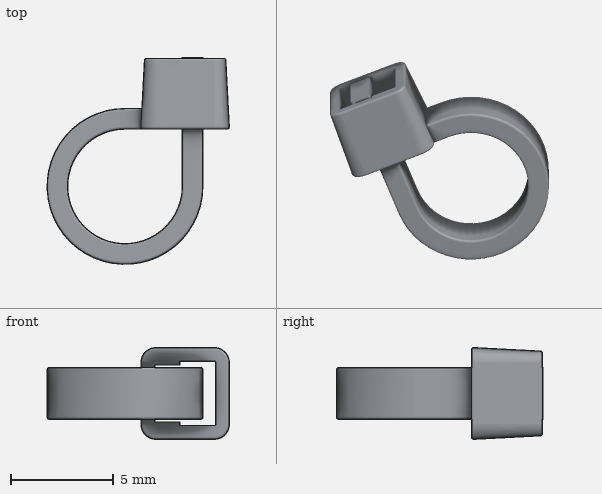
import cadquery as cq
import math

overall_width = 8.91
overall_length = 10.1

outer_radius = 3.81
band_thickness = 1.01
band_width = 2.54
inner_radius = outer_radius - band_thickness
tail_end_y = overall_length - outer_radius
tail_projection = 0.03
edge_radius = 0.12

head_right_x = overall_width - outer_radius
head_width = 4.32
head_height = 4.48
head_corner_radius = 0.75
head_draft_angle = 3.0
head_wall = 0.68

head_left_x = head_right_x - head_width
head_center_x = head_right_x - head_width / 2
head_front_y = inner_radius
head_length = tail_end_y - tail_projection - head_front_y

draft = math.radians(head_draft_angle)
rounding_trim = edge_radius * (math.tan(draft) + 1 / math.cos(draft) - 1)

side_clearance = 0.11
vertical_clearance = 0.12
opening_left_x = head_left_x + head_wall
opening_right_x = head_right_x - head_wall
step_x = inner_radius - side_clearance
opening_height = head_height - 2 * head_wall
narrow_height = band_width + 2 * vertical_clearance
opening_corner_radius = 0.04


def edges_near(x, y):
    """Selector for the edges whose midpoint lies at the given X and Y, at any height in the band."""
    tolerance = 0.01
    low_corner = (x - tolerance, y - tolerance, -band_width)
    high_corner = (x + tolerance, y + tolerance, band_width)
    return cq.selectors.BoxSelector(low_corner, high_corner)


def make_band():
    """Arm, three-quarter ring and straight tail, with rounded long edges and square ends."""
    arm_end_x = head_left_x + head_wall / 2
    diagonal = math.sqrt(0.5)
    band = (
        cq.Workplane("XY")
        .workplane(offset=-band_width / 2)
        .moveTo(arm_end_x, outer_radius)
        .lineTo(0, outer_radius)
        .threePointArc((-outer_radius * diagonal, -outer_radius * diagonal), (outer_radius, 0))
        .lineTo(outer_radius, tail_end_y)
        .lineTo(inner_radius, tail_end_y)
        .lineTo(inner_radius, 0)
        .threePointArc((-inner_radius * diagonal, -inner_radius * diagonal), (0, inner_radius))
        .lineTo(arm_end_x, inner_radius)
        .close()
        .extrude(band_width)
    )
    middle_radius = (inner_radius + outer_radius) / 2
    arm_end_edges = edges_near(arm_end_x, middle_radius)
    tail_end_edges = edges_near(middle_radius, tail_end_y)
    long_edges = cq.selectors.StringSyntaxSelector("#Z") - arm_end_edges - tail_end_edges
    return band.faces("<Z or >Z").edges(long_edges).fillet(edge_radius)


def make_head():
    """Drafted block with rounded corners and rounded front and back rims."""
    front_width = head_width + 2 * rounding_trim
    front_height = head_height + 2 * rounding_trim
    profile = cq.Sketch().rect(front_width, front_height).vertices().fillet(head_corner_radius)
    return (
        cq.Workplane("XZ", origin=(head_center_x, head_front_y, 0))
        .placeSketch(profile)
        .extrude(-head_length, taper=head_draft_angle)
        .faces("<Y or >Y")
        .edges()
        .fillet(edge_radius)
    )


def make_opening_part(left_x, right_x, height):
    """Rectangular through cut between two X positions, centred on Z = 0."""
    center = ((left_x + right_x) / 2, head_front_y + head_length / 2, 0)
    return cq.Workplane("XY", origin=center).box(right_x - left_x, head_length, height)


wide_opening = make_opening_part(step_x, opening_right_x, opening_height)
wide_opening = wide_opening.edges("|Y and >X").fillet(opening_corner_radius)
narrow_opening = make_opening_part(opening_left_x, step_x, narrow_height)

head = make_head().cut(wide_opening).cut(narrow_opening)
result = head.union(make_band())